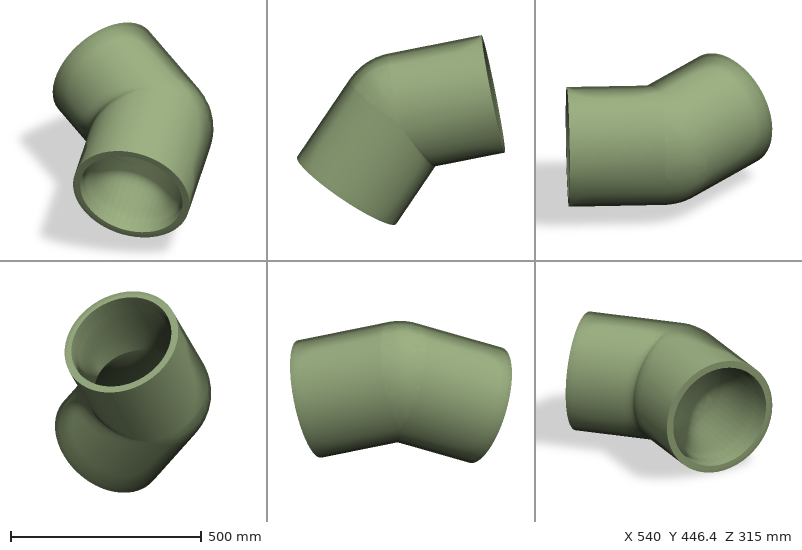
import cadquery as cq
import math

overall_length = 540.0
outer_diameter = 315.0
wall = 19.0
bend_angle = 45.0

outer_radius = outer_diameter / 2
inner_radius = outer_radius - wall
bend = math.radians(bend_angle)

leg_length = (overall_length - outer_radius * math.sin(bend)) / (1 + math.cos(bend))

straight_direction = cq.Vector(-1, 0, 0)
angled_direction = cq.Vector(math.cos(bend), -math.sin(bend), 0)


def leg(radius, direction):
    """Cylinder from the bend centre to the open end."""
    cylinder = cq.Solid.makeCylinder(radius, leg_length, cq.Vector(0, 0, 0), direction)
    return cq.Workplane(obj=cylinder)


def outer_bend_wedge(radius):
    """Spherical wedge filling the gap between the legs on the outside of the bend."""
    return (
        cq.Workplane("YZ")
        .moveTo(0, -radius)
        .threePointArc((radius, 0), (0, radius))
        .close()
        .revolve(bend_angle, (0, radius), (0, -radius))
    )


def elbow_body(radius):
    """Solid elbow of the given radius, used for both the outside and the bore."""
    legs = leg(radius, straight_direction).union(leg(radius, angled_direction))
    return legs.union(outer_bend_wedge(radius))


result = elbow_body(outer_radius).cut(elbow_body(inner_radius))